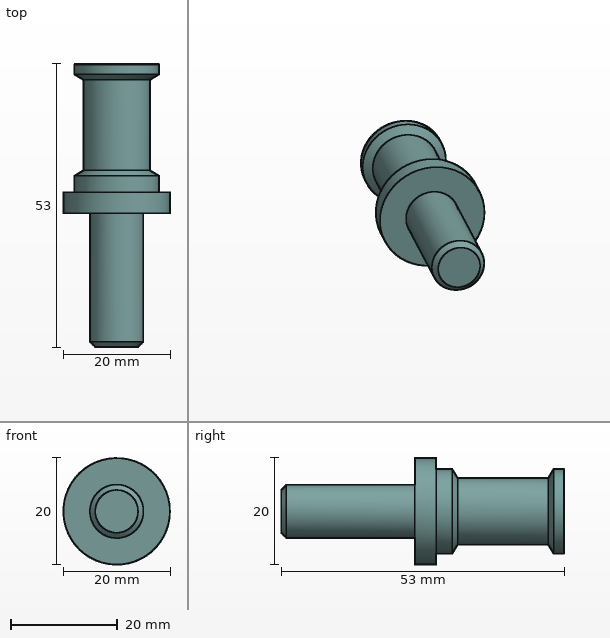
import cadquery as cq

total_length = 53.0
pin_length = 25.0
flange_thickness = 4.0
collar_length = 3.0
head_thickness = 2.0
taper_length = 1.0

pin_diameter = 10.0
flange_diameter = 20.0
collar_diameter = 15.9
neck_diameter = 12.5

tip_chamfer = 1.0
head_chamfer = 0.15

pin_radius = pin_diameter / 2
flange_radius = flange_diameter / 2
collar_radius = collar_diameter / 2
neck_radius = neck_diameter / 2

flange_back = pin_length + flange_thickness
collar_end = flange_back + collar_length
neck_start = collar_end + taper_length
head_start = total_length - head_thickness
neck_end = head_start - taper_length

profile = [
    (0, 0),
    (pin_radius - tip_chamfer, 0),
    (pin_radius, tip_chamfer),
    (pin_radius, pin_length),
    (flange_radius, pin_length),
    (flange_radius, flange_back),
    (collar_radius, flange_back),
    (collar_radius, collar_end),
    (neck_radius, neck_start),
    (neck_radius, neck_end),
    (collar_radius, head_start),
    (collar_radius, total_length - head_chamfer),
    (collar_radius - head_chamfer, total_length),
    (0, total_length),
]

result = cq.Workplane("XY").polyline(profile).close().revolve(360, (0, 0, 0), (0, 1, 0))